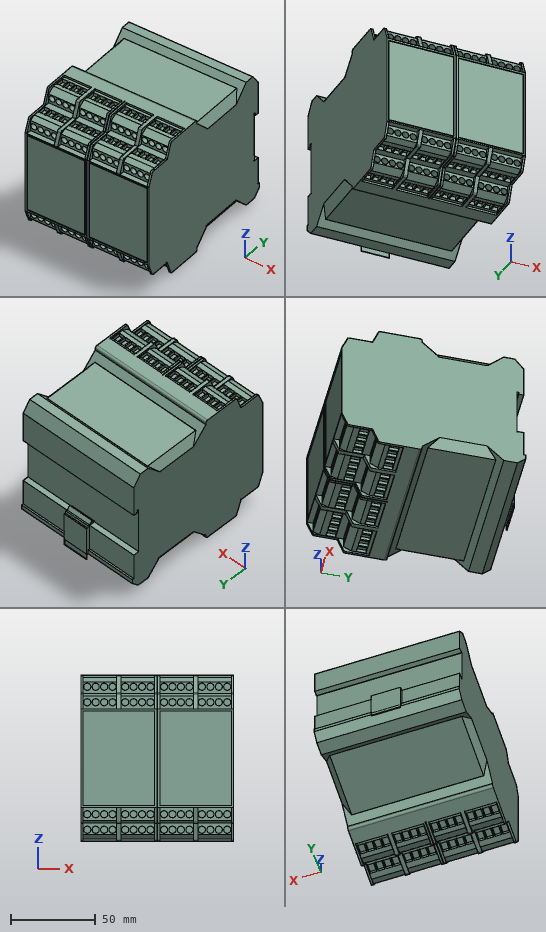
import cadquery as cq

width = 90.9
height = 99.0
front_y = -57.0
back_y = 57.0
half_width = width / 2
half_height = height / 2

waist_z = 35.9
waist_front_y = 2.9
waist_back_y = 31.8
collar_y = -7.9
collar_foot_z = waist_z + waist_front_y - collar_y
collar_radius = 1.6
step_radius = 1.4
rear_top_z = 46.3
rear_top_front_y = 42.0
rear_top_back_y = 48.7
rear_y = 54.3
rear_chamfer_z = 38.7
rail_y = 50.2
rail_hook_z = 15.4
rail_hook_y = 51.2
rail_top_z = 17.1
rail_bottom_z = -18.1
foot_y = 55.5
foot_top_z = -38.0
foot_bottom_z = -41.3
foot_chamfer_y = 50.4

upper_step_y = -34.3
lower_step_back_y = -38.3
lower_step_z = 38.9
lower_step_y = -53.3
front_face_z = 29.4

block_z = 42.4
block_taper = 4.1
block_back_y = 38.1
block_front_y = -3.4

gap = 0.5
cover_y = -18.5
cover_shoulder_z = 28.4
cover_nose_y = -50.9
cover_nose_z = 12.7

wall = 1.4
rib = 2.6
module_width = (width - gap) / 2
bay_width = (module_width - 2 * wall - rib) / 2
bay_back_y = -19.0
upper_block_z = 48.1
upper_bevel_y = -30.0
upper_bevel_z = 45.4
upper_block_y = -34.9
lower_block_z = 38.7
lower_bevel_y = -49.4
lower_bevel_z = 37.0
lower_block_y = -53.4

openings_per_bay = 4
opening_pitch = 5.0
wire_depth = 2.5
wire_width = 4.1
wire_length = 5.8
wire_setback = 10.8
screw_diameter = 4.2
screw_depth = 5.7
upper_screw_z = 42.5
lower_screw_z = 33.3

label_height = 56.1
label_depth = 0.6

clip_width = 18.4
clip_tip_y = 52.1
clip_tip_z = -15.4
clip_notch_z = -17.5
clip_shoulder_y = 54.4
clip_shoulder_z = -17.8
clip_bevel_y = 56.1
clip_back_z = -19.2
blade_thickness = 0.6
blade_bottom_z = -45.2

overshoot = 2.3

module_centers = [side * (module_width + gap) / 2 for side in (-1, 1)]
bay_offset = (rib + bay_width) / 2
bay_centers = [m + side * bay_offset for m in module_centers for side in (-1, 1)]
opening_offsets = [(i - (openings_per_bay - 1) / 2) * opening_pitch for i in range(openings_per_bay)]


def side_prism(points, thickness, center_x=0.0):
    """Extrude a closed (y, z) outline along X, centred on center_x."""
    plane = cq.Workplane("YZ", origin=(center_x, 0, 0))
    return plane.polyline(points).close().extrude(thickness / 2, both=True)


def box_between(x_range, y_range, z_range):
    """Box given by its lower and upper limits along each axis."""
    sizes = [high - low for low, high in (x_range, y_range, z_range)]
    corner = (x_range[0], y_range[0], z_range[0])
    return cq.Workplane("XY").box(*sizes, centered=False).translate(corner)


def with_mirror(body):
    """The body together with its mirror image below the mid-height plane."""
    return body.union(body.mirror("XY"))


def make_housing():
    front_half = [
        (waist_back_y, waist_z),
        (waist_front_y, waist_z),
        (collar_y, collar_foot_z),
        (collar_y, half_height),
        (upper_step_y, half_height),
        (lower_step_back_y, lower_step_z),
        (lower_step_y, lower_step_z),
        (front_y, front_face_z),
    ]
    front_half_mirrored = [(y, -z) for y, z in reversed(front_half)]
    lower_rear = [
        (rear_top_front_y, -rear_top_z),
        (foot_chamfer_y, -rear_top_z),
        (foot_y, foot_bottom_z),
        (foot_y, foot_top_z),
        (rear_y, foot_top_z),
        (rear_y, rail_bottom_z),
        (rail_y, rail_bottom_z),
    ]
    upper_rear = [
        (rail_y, rail_top_z),
        (rail_hook_y, rail_top_z),
        (rail_hook_y, rail_hook_z),
        (rear_y, rail_hook_z),
        (rear_y, rear_chamfer_z),
        (rear_top_back_y, rear_top_z),
        (rear_top_front_y, rear_top_z),
    ]
    housing = side_prism(front_half + front_half_mirrored + lower_rear + upper_rear, width)
    rounded_corners = [
        (collar_y, half_height, collar_radius),
        (upper_step_y, half_height, step_radius),
        (lower_step_y, lower_step_z, step_radius),
    ]
    for y, z, radius in rounded_corners:
        for edge_z in (z, -z):
            edge = housing.edges(cq.selectors.NearestToPointSelector((0, y, edge_z)))
            housing = edge.fillet(radius)
    return housing


def make_waist_blocks():
    """Raised blocks whose ends slope down to the waist at the side faces."""
    section = [
        (-half_width, 0),
        (-half_width, waist_z),
        (block_taper - half_width, block_z),
        (half_width - block_taper, block_z),
        (half_width, waist_z),
        (half_width, 0),
    ]
    plane = cq.Workplane("XZ", origin=(0, block_back_y, 0))
    return with_mirror(plane.polyline(section).close().extrude(block_back_y - block_front_y))


def make_clip():
    outline = [
        (rail_y - overshoot, clip_notch_z),
        (rail_hook_y, clip_notch_z),
        (clip_tip_y, clip_tip_z),
        (clip_shoulder_y, clip_shoulder_z),
        (foot_y, clip_shoulder_z),
        (clip_bevel_y, clip_back_z),
        (back_y, clip_back_z),
        (back_y, blade_bottom_z),
        (back_y - blade_thickness, blade_bottom_z),
        (back_y - blade_thickness, foot_bottom_z),
        (rail_y - overshoot, foot_bottom_z),
    ]
    return side_prism(outline, clip_width)


def make_cover_gap():
    outer_y = front_y - overshoot
    outer_z = half_height + overshoot
    upper = [
        (outer_y, outer_z),
        (cover_y, outer_z),
        (cover_y, cover_shoulder_z),
        (cover_nose_y, cover_nose_z),
    ]
    lower = [(y, -z) for y, z in reversed(upper)]
    return side_prism(upper + lower, gap)


def make_bay(center_x):
    """Space cleared in front of and above the two terminal blocks of a bay."""
    outline = [
        (bay_back_y, half_height + overshoot),
        (bay_back_y, upper_block_z),
        (upper_bevel_y, upper_block_z),
        (upper_block_y, upper_bevel_z),
        (upper_block_y, lower_block_z),
        (lower_bevel_y, lower_block_z),
        (lower_block_y, lower_bevel_z),
        (lower_block_y, front_face_z),
        (front_y - overshoot, front_face_z),
        (front_y - overshoot, half_height + overshoot),
    ]
    return side_prism(outline, bay_width, center_x)


def make_openings(block_y, top_z, screw_z):
    """Wire openings from above and screw holes from the front, for one row of blocks."""
    xs = [center + offset for center in bay_centers for offset in opening_offsets]
    wires = (
        cq.Workplane("XY", origin=(0, block_y + wire_setback, top_z))
        .pushPoints([(x, 0) for x in xs])
        .rect(wire_width, wire_length)
        .extrude(-wire_depth)
    )
    screws = (
        cq.Workplane("XZ", origin=(0, block_y, screw_z))
        .pushPoints([(x, 0) for x in xs])
        .circle(screw_diameter / 2)
        .extrude(-screw_depth)
    )
    return wires.union(screws)


def make_label_recess(center_x):
    half_label = module_width / 2 - wall
    return box_between(
        (center_x - half_label, center_x + half_label),
        (front_y - overshoot, front_y + label_depth),
        (-label_height / 2, label_height / 2),
    )


result = make_housing().union(make_waist_blocks()).union(make_clip())
result = result.cut(make_cover_gap())
for bay_center in bay_centers:
    result = result.cut(with_mirror(make_bay(bay_center)))
result = result.cut(with_mirror(make_openings(upper_block_y, upper_block_z, upper_screw_z)))
result = result.cut(with_mirror(make_openings(lower_block_y, lower_block_z, lower_screw_z)))
for module_center in module_centers:
    result = result.cut(make_label_recess(module_center))